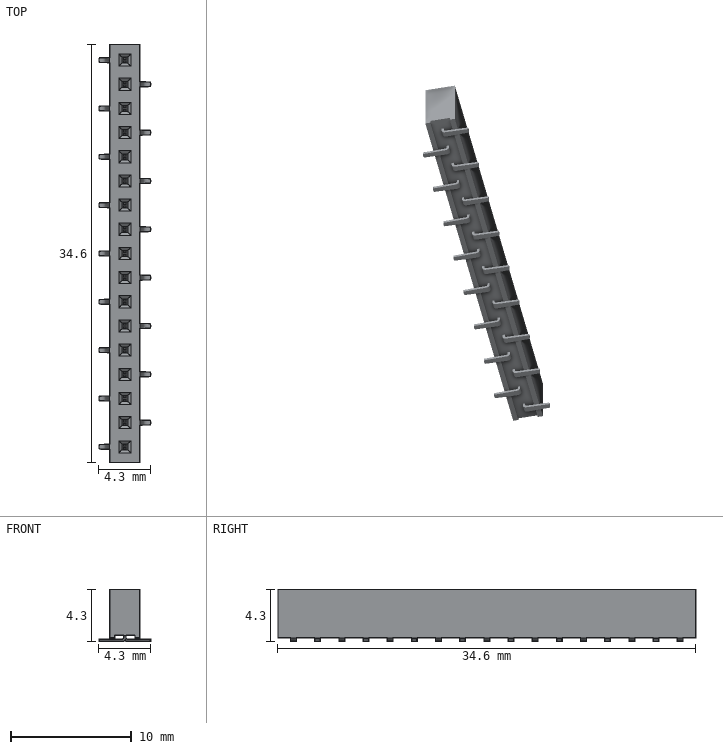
import cadquery as cq
import math

contact_count = 17
pitch = 2.0
first_contact_y = (contact_count - 1) * pitch / 2

overall_width = 4.3
overall_length = 34.6
overall_height = 4.3

housing_width = 2.5
housing_bottom = 0.3
housing_height = overall_height - housing_bottom
channel_width = 1.65
channel_depth = 0.2

lead_in_size = 1.0
well_size = 0.5
lead_in_depth = (lead_in_size - well_size) / 2
well_depth = 1.0
well_floor = overall_height - well_depth

strip_width = 0.5
strip_thickness = 0.2
bend_inner_radius = 0.1
bend_outer_radius = bend_inner_radius + strip_thickness
lead_tip_width = 0.4
lead_tip_bulge = 0.05
fork_width = 0.4
fork_gap = 0.14
fork_height = 0.2


def make_housing():
    """Bar with a channel along the middle of its underside."""
    bar = cq.Workplane("XY").box(
        housing_width, overall_length, housing_height, centered=(True, True, False)
    )
    channel = cq.Workplane("XY").box(
        channel_width, overall_length, channel_depth, centered=(True, True, False)
    )
    return bar.cut(channel).translate((0, 0, housing_bottom))


def make_socket(y):
    """Volume removed for one socket: a pyramidal lead-in and a square well."""
    lead_in = (
        cq.Workplane("XY", origin=(0, y, overall_height))
        .rect(lead_in_size, lead_in_size)
        .workplane(offset=-lead_in_depth)
        .rect(well_size, well_size)
        .loft(ruled=True)
    )
    well = cq.Workplane("XY", origin=(0, y, well_floor)).box(
        well_size, well_size, well_depth - lead_in_depth, centered=(True, True, False)
    )
    return lead_in.union(well)


def make_contact():
    """Bent strip and fork centred on y = 0, with the lead pointing to -X."""
    outer_x = strip_thickness / 2
    inner_x = -strip_thickness / 2
    tip_x = -overall_width / 2
    bend_x = outer_x - bend_outer_radius
    bend_z = bend_outer_radius
    diagonal = math.sqrt(0.5)
    strip = (
        cq.Workplane("XZ")
        .moveTo(outer_x, well_floor)
        .lineTo(outer_x, bend_z)
        .threePointArc(
            (bend_x + diagonal * bend_outer_radius, bend_z - diagonal * bend_outer_radius),
            (bend_x, 0),
        )
        .lineTo(tip_x, 0)
        .lineTo(tip_x, strip_thickness)
        .lineTo(bend_x, strip_thickness)
        .threePointArc(
            (bend_x + diagonal * bend_inner_radius, bend_z - diagonal * bend_inner_radius),
            (inner_x, bend_z),
        )
        .lineTo(inner_x, well_floor)
        .close()
        .extrude(strip_width / 2, both=True)
    )
    shoulder_x = tip_x + lead_tip_bulge
    plan = (
        cq.Workplane("XY")
        .moveTo(outer_x, -strip_width / 2)
        .lineTo(outer_x, strip_width / 2)
        .lineTo(bend_x, strip_width / 2)
        .lineTo(shoulder_x, lead_tip_width / 2)
        .threePointArc((tip_x, 0), (shoulder_x, -lead_tip_width / 2))
        .lineTo(bend_x, -strip_width / 2)
        .close()
        .extrude(well_floor)
    )
    fork = cq.Workplane("XY", origin=(0, 0, well_floor)).box(
        strip_thickness, fork_width, fork_height, centered=(True, True, False)
    )
    gap = cq.Workplane("XY", origin=(0, 0, well_floor)).box(
        strip_thickness, fork_gap, fork_height, centered=(True, True, False)
    )
    return strip.intersect(plan).union(fork.cut(gap))


left_contact = make_contact()
right_contact = left_contact.mirror("YZ")
result = make_housing()
for index in range(contact_count):
    contact_y = first_contact_y - index * pitch
    contact = left_contact if index % 2 == 0 else right_contact
    result = result.cut(make_socket(contact_y))
    result = result.union(contact.translate((0, contact_y, 0)))